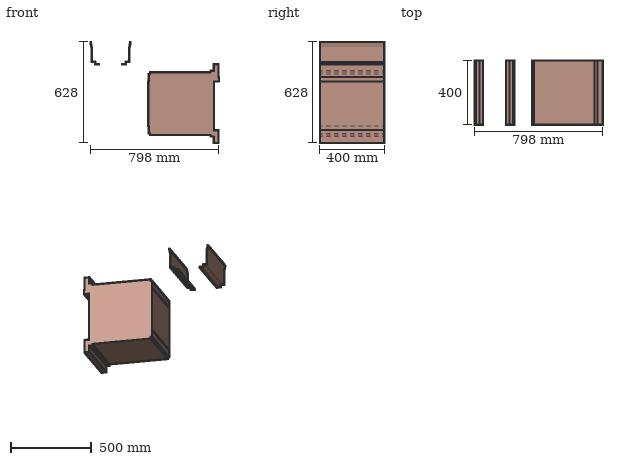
import cadquery as cq
import math

length = 400.0

housing_height = 490.0
front_x = 359.0
lip_x = 360.5
shoulder_x = 369.0
rib_x = 744.0
flange_x = 764.0
back_x = 766.5
flange_back_x = 795.0
ledge_back_x = 798.0
rib_inset = 41.0
body_inset = 50.0
lip_inset = 61.5
front_inset = 106.0
lower_flange_top = 81.0
ledge_bottom = 382.0
ledge_top = 410.0

rail_top = 628.0
rail_bottom = 488.0
rail_thickness = 3.0
rail_pair_width = 250.5
lip_angle = 11.0
wall_x = 7.0
bend_z = 593.5
shelf_top = 506.0
web_x = 32.0
foot_end_x = 56.0
inner_bend_radius = 1.5
outer_bend_radius = inner_bend_radius + rail_thickness


def extrude_profile(points):
    """Extrude an XZ outline along +Y from the front end face."""
    return cq.Workplane("XZ").polyline(points).close().extrude(-length)


def make_housing():
    def from_top(inset):
        return housing_height - inset

    return extrude_profile([
        (flange_x, 0),
        (flange_back_x, 0),
        (flange_back_x, lower_flange_top),
        (back_x, lower_flange_top),
        (back_x, ledge_bottom),
        (ledge_back_x, ledge_bottom),
        (ledge_back_x, ledge_top),
        (flange_back_x, ledge_top),
        (flange_back_x, housing_height),
        (flange_x, housing_height),
        (flange_x, from_top(rib_inset)),
        (rib_x, from_top(rib_inset)),
        (rib_x, from_top(body_inset)),
        (shoulder_x, from_top(body_inset)),
        (shoulder_x, from_top(lip_inset)),
        (lip_x, from_top(lip_inset)),
        (lip_x, from_top(front_inset)),
        (front_x, from_top(front_inset)),
        (front_x, front_inset),
        (lip_x, front_inset),
        (lip_x, lip_inset),
        (shoulder_x, lip_inset),
        (shoulder_x, body_inset),
        (rib_x, body_inset),
        (rib_x, rib_inset),
        (flange_x, rib_inset),
    ])


def round_bends(body, corners, radius):
    """Fillet the long edges that run along Y through the given XZ corners."""
    for x, z in corners:
        edge = cq.selectors.NearestToPointSelector((x, length / 2, z))
        body = body.edges("|Y").edges(edge).fillet(radius)
    return body


def make_left_rail():
    angle = math.radians(lip_angle)
    lip_outer_z = rail_top - rail_thickness * math.sin(angle)
    lip_outer_x = wall_x - (lip_outer_z - bend_z) * math.tan(angle)
    lip_inner_x = lip_outer_x + rail_thickness * math.cos(angle)
    wall_inner_x = wall_x + rail_thickness
    inner_bend_z = bend_z + rail_thickness * math.tan(angle / 2)
    shelf_bottom = shelf_top - rail_thickness
    web_left_x = web_x - rail_thickness
    foot_top = rail_bottom + rail_thickness

    rail = extrude_profile([
        (lip_outer_x, lip_outer_z),
        (wall_x, bend_z),
        (wall_x, shelf_bottom),
        (web_left_x, shelf_bottom),
        (web_left_x, rail_bottom),
        (foot_end_x, rail_bottom),
        (foot_end_x, foot_top),
        (web_x, foot_top),
        (web_x, shelf_top),
        (wall_inner_x, shelf_top),
        (wall_inner_x, inner_bend_z),
        (lip_inner_x, rail_top),
    ])
    outer_corners = [
        (wall_x, shelf_bottom),
        (web_x, shelf_top),
        (web_left_x, rail_bottom),
    ]
    inner_corners = [
        (wall_inner_x, shelf_top),
        (web_left_x, shelf_bottom),
        (web_x, foot_top),
    ]
    rail = round_bends(rail, outer_corners, outer_bend_radius)
    rail = round_bends(rail, inner_corners, inner_bend_radius)
    return rail.translate((-lip_outer_x, 0, 0))


housing = make_housing()
left_rail = make_left_rail()
right_rail = left_rail.mirror("YZ").translate((rail_pair_width, 0, 0))

result = cq.Compound.makeCompound([
    housing.val(),
    left_rail.val(),
    right_rail.val(),
])